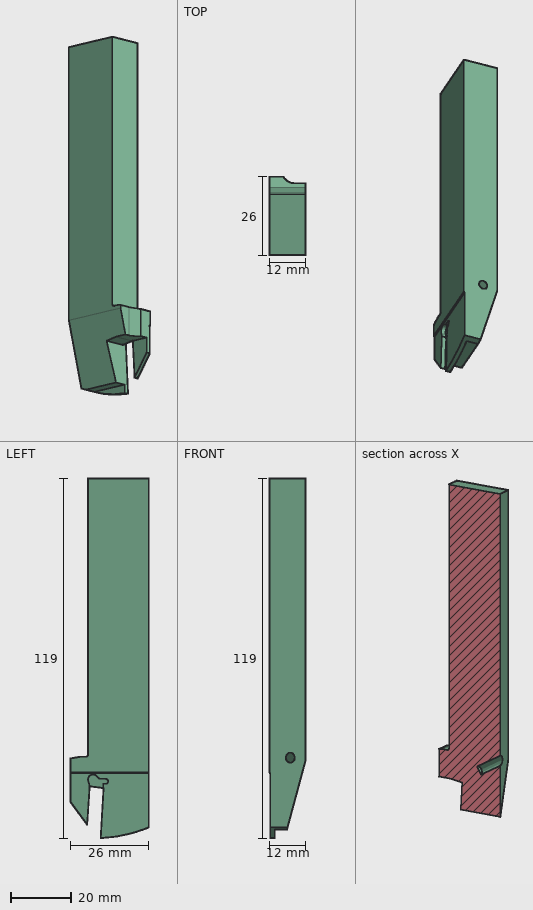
import cadquery as cq
import math

total_height = 119.0
shank_width = 12.0
shank_depth = 20.1
head_depth = 26.0
shoulder_height = 27.0
shoulder_depth = 22.5
head_edge_height = 26.4
corner_radius = 0.6

blade_top = 21.8
blade_recess = 0.2
blade_bevel_height = 0.4
blade_back = 1.8

slot_top = 17.1
slot_top_front = 16.5
slot_jaw_top_y = 19.5
slot_support_top_y = 15.0
support_tip_y = 16.0
jaw_tip_y = 20.3
jaw_tip_height = 4.4
jaw_chamfer_height = 12.0

front_height = 3.6
underside_mid_y = 7.9
underside_mid_z = 1.1
backing_height = 2.9

lobe_y = 18.5
lobe_z = 19.4
lobe_radius = 1.7
nub_y = 14.3
nub_z = 18.8
nub_radius = 0.8

taper_start_height = 25.8
taper_end_width = 5.8

scallop_start_x = 4.6
scallop_mid_x = 6.0
scallop_mid_y = 24.5
scallop_end_x = 8.1
scallop_floor_y = 23.8

hole_x = 6.9
hole_height = 26.7
hole_diameter = 2.9
hole_length = 9.5
hole_tilt = 30.0


def side_plane(x):
    """Plane at the given X, with local axes along Y and Z."""
    return cq.Workplane("YZ", origin=(x, 0, 0))


def side_profile():
    """Full side outline, including both jaws and the slot, across the whole width."""
    return (
        side_plane(0)
        .moveTo(0, total_height)
        .lineTo(0, front_height)
        .threePointArc((underside_mid_y, underside_mid_z), (support_tip_y, 0))
        .lineTo(slot_support_top_y, slot_top_front)
        .lineTo(slot_jaw_top_y, slot_top)
        .lineTo(jaw_tip_y, jaw_tip_height)
        .lineTo(head_depth, jaw_chamfer_height)
        .lineTo(head_depth, head_edge_height)
        .lineTo(shoulder_depth, shoulder_height)
        .lineTo(shank_depth + corner_radius, shoulder_height)
        .radiusArc((shank_depth, shoulder_height + corner_radius), corner_radius)
        .lineTo(shank_depth, total_height)
        .close()
        .extrude(shank_width)
    )


def blade_step():
    """Thin slab removed from the outer side of the blade, with a bevelled top."""
    return (
        cq.Workplane("XZ")
        .lineTo(0, blade_top)
        .lineTo(blade_recess, blade_top - blade_bevel_height)
        .lineTo(blade_recess, 0)
        .close()
        .extrude(-head_depth)
    )


def jaw_clearance():
    """Space behind the jaw, so that only the blade thickness remains there."""
    return (
        side_plane(blade_back)
        .moveTo(slot_support_top_y, slot_top_front)
        .lineTo(slot_jaw_top_y, slot_top)
        .lineTo(head_depth, slot_top)
        .lineTo(head_depth, 0)
        .lineTo(support_tip_y, 0)
        .close()
        .extrude(shank_width - blade_back)
    )


def underside_clearance():
    """Trims the backing to a flat underside behind the blade."""
    return cq.Workplane("XY", origin=(blade_back, 0, 0)).box(
        shank_width - blade_back, head_depth, backing_height, centered=False
    )


def opening_relief():
    """Lobe and nub, joined by a 45 degree ramp, as deep as the blade is thick."""
    ramp_offset = lobe_radius * math.sqrt(0.5)
    ramp_top_y = lobe_y - ramp_offset
    ramp_top_z = lobe_z + ramp_offset
    nub_top = nub_z + nub_radius
    ramp_foot_y = ramp_top_y - (ramp_top_z - nub_top)
    lobe = side_plane(0).center(lobe_y, lobe_z).circle(lobe_radius).extrude(blade_back)
    nub = side_plane(0).center(nub_y, nub_z).circle(nub_radius).extrude(blade_back)
    bridge = (
        side_plane(0)
        .moveTo(nub_y, nub_top)
        .lineTo(ramp_foot_y, nub_top)
        .lineTo(ramp_top_y, ramp_top_z)
        .lineTo(lobe_y + lobe_radius, lobe_z)
        .lineTo(slot_jaw_top_y, slot_top)
        .lineTo(slot_support_top_y, slot_top_front)
        .lineTo(slot_support_top_y, nub_z - nub_radius)
        .lineTo(nub_y, nub_z - nub_radius)
        .close()
        .extrude(blade_back)
    )
    return lobe.union(nub).union(bridge)


def side_taper():
    """Wedge removed from the inner side of the lower end."""
    taper_slope = (shank_width - taper_end_width) / (taper_start_height - backing_height)
    foot_width = taper_end_width - taper_slope * backing_height
    return (
        cq.Workplane("XZ")
        .moveTo(shank_width, taper_start_height)
        .lineTo(foot_width, 0)
        .lineTo(shank_width, 0)
        .close()
        .extrude(-head_depth)
    )


def head_scallop():
    """Concave step along the rear of the head."""
    return (
        cq.Workplane("XY")
        .moveTo(scallop_start_x, head_depth)
        .threePointArc((scallop_mid_x, scallop_mid_y), (scallop_end_x, scallop_floor_y))
        .lineTo(shank_width, scallop_floor_y)
        .lineTo(shank_width, head_depth)
        .close()
        .extrude(shoulder_height)
    )


def front_hole():
    """Tilted drill that starts outside the face so that its mouth is fully open."""
    tilt = math.radians(hole_tilt)
    direction = cq.Vector(0, math.cos(tilt), -math.sin(tilt))
    start = cq.Vector(hole_x, 0, hole_height) - direction * hole_diameter
    return cq.Solid.makeCylinder(hole_diameter / 2, hole_length + hole_diameter, start, direction)


def make_holder():
    holder = side_profile()
    removals = (
        blade_step(),
        jaw_clearance(),
        underside_clearance(),
        opening_relief(),
        side_taper(),
        head_scallop(),
        front_hole(),
    )
    for removed in removals:
        holder = holder.cut(removed)
    return holder


holder = make_holder()
result = cq.Compound.makeCompound([holder.val()])